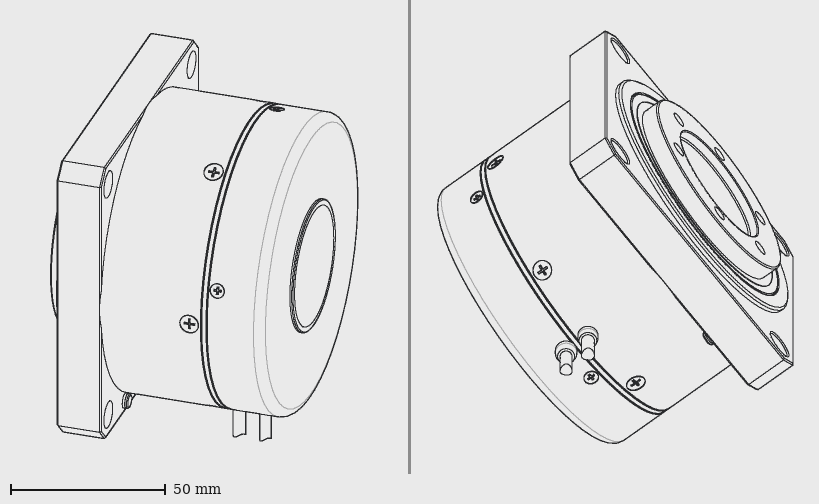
import cadquery as cq
import math

body_diameter = 100.0
body_radius = body_diameter / 2
overall_height = 116.8
cable_end_z = body_radius - overall_height

hub_length = 6.0
flange_front_x = 8.0
flange_thickness = 15.1
flange_back_x = flange_front_x + flange_thickness
rear_face_x = 78.0
total_length = 79.0

hub_diameter = 66.0
hub_chamfer = 0.5
register_diameter = 90
register_chamfer = 0.7
seal_recess_diameter = 72.0
seal_recess_depth = 0.2
gap_inner_diameter = 78.5
gap_outer_diameter = 79.2
gap_depth = 0.6
gap_chamfer = 0.4

flange_corner_chamfer = 4.9
edge_chamfer = 0.5
mount_hole_diameter = 9.0
mount_hole_spacing = 84.8
mount_hole_chamfer = 0.5

bore_diameter = 40.0
counterbore_diameter = 41.0
counterbore_depth = 3.0
bore_chamfer = 0.4

hub_hole_diameter = 5.0
hub_hole_circle = 50.0
hub_hole_count = 6
hub_hole_depth = 9.3
drill_point_angle = 118

rear_fillet = 3.0
rear_boss_diameter = 43.9
rear_boss_chamfer = 0.4

parting_groove_positions = (57.1, 59.0)
parting_groove_width = 0.5
parting_groove_depth = 0.2

large_screw_x = 53.0
large_screw_diameter = 6.3
large_cross_length = 3.5
large_screw_count = 6
large_screw_start_angle = 0
small_screw_x = 62.0
small_screw_diameter = 4.8
small_cross_length = 2.5
small_screw_count = 4
small_screw_start_angle = 15
screw_sink_depth = 0.4
cross_width = 0.6
cross_depth = 0.6

power_cable_x = 53.5
power_cable_diameter = 4.2
power_gland_length = 4.2
power_gland_diameter = 6.5
power_gland_end_diameter = 5.7
encoder_cable_x = 62.4
encoder_cable_diameter = 3.9
encoder_gland_length = 4.5
encoder_gland_diameter = 7
encoder_gland_end_diameter = 5.5
gland_collar_length = 1.8
break_height = 0.7
break_cutter_depth = 11.7

plug_y = -25.7
plug_z = -45.9
plug_collar_diameter = 5.0
plug_collar_length = 0.8
plug_head_diameter = 4.8
plug_length = 1.8
plug_chamfer = 0.4

clearance = 1.2


def disc(start_x, end_x, diameter):
    """Cylinder on the main axis between two X positions."""
    return cq.Workplane("YZ", origin=(start_x, 0, 0)).circle(diameter / 2).extrude(end_x - start_x)


def make_flange():
    """Square mounting flange with clipped corners and four through holes."""
    flange = (
        cq.Workplane("YZ", origin=(flange_front_x, 0, 0))
        .rect(body_diameter, body_diameter)
        .extrude(flange_thickness)
        .edges("|X")
        .chamfer(flange_corner_chamfer)
        .faces("<X or >X")
        .chamfer(edge_chamfer)
    )
    holes = (
        cq.Workplane("YZ", origin=(flange_front_x, 0, 0))
        .rect(mount_hole_spacing, mount_hole_spacing, forConstruction=True)
        .vertices()
        .circle(mount_hole_diameter / 2)
        .extrude(flange_thickness)
    )
    flange = flange.cut(holes)
    hole_edges = flange.faces("<X").edges("%CIRCLE")
    return hole_edges.chamfer(mount_hole_chamfer)


def make_front():
    """Register with a narrow ring gap and a shallow recess around the projecting hub."""
    register = disc(hub_length, flange_front_x, register_diameter).faces("<X").chamfer(register_chamfer)
    gap_end_x = hub_length + gap_depth
    gap_core = disc(hub_length, gap_end_x, gap_inner_diameter).faces("<X").chamfer(gap_chamfer)
    gap = disc(hub_length, gap_end_x, gap_outer_diameter).cut(gap_core)
    seal_recess = disc(hub_length, hub_length + seal_recess_depth, seal_recess_diameter)
    hub = disc(0, flange_front_x, hub_diameter).faces("<X").chamfer(hub_chamfer)
    return register.cut(gap).cut(seal_recess).union(hub)


def make_body():
    """Body drum, reaching into the flange so that it fills the rear edge chamfer where they touch."""
    body_front_x = flange_front_x + edge_chamfer
    body = disc(body_front_x, rear_face_x, body_diameter).faces(">X").edges().fillet(rear_fillet)
    boss = disc(rear_face_x, total_length, rear_boss_diameter).faces(">X").chamfer(rear_boss_chamfer)
    return body.union(boss)


def make_bore():
    """Through bore, opened up and chamfered at the hub face."""
    bore_radius = bore_diameter / 2
    counterbore_radius = counterbore_diameter / 2
    counterbore_step = counterbore_radius - bore_radius
    return (
        cq.Workplane("XY")
        .lineTo(0, counterbore_radius + bore_chamfer)
        .lineTo(bore_chamfer, counterbore_radius)
        .lineTo(counterbore_depth, counterbore_radius)
        .lineTo(counterbore_depth + counterbore_step, bore_radius)
        .lineTo(total_length, bore_radius)
        .lineTo(total_length, 0)
        .close()
        .revolve(360, (0, 0, 0), (1, 0, 0))
    )


def make_hub_holes():
    """Ring of blind drilled holes with conical bottoms."""
    radius = hub_hole_diameter / 2
    point_depth = radius / math.tan(math.radians(drill_point_angle / 2))
    hole = (
        cq.Workplane("XY")
        .polyline([(0, 0), (0, radius), (hub_hole_depth, radius), (hub_hole_depth + point_depth, 0)])
        .close()
        .revolve(360, (0, 0, 0), (1, 0, 0))
        .translate((0, 0, hub_hole_circle / 2))
    )
    holes = cq.Workplane("XY")
    for index in range(hub_hole_count):
        holes = holes.add(hole.rotate((0, 0, 0), (1, 0, 0), index * 360 / hub_hole_count))
    return holes.combine()


def make_parting_groove(center_x):
    """Ring with a triangular section for one shallow V groove."""
    half_width = parting_groove_width / 2
    return (
        cq.Workplane("XY")
        .moveTo(center_x - half_width, body_radius)
        .lineTo(center_x, body_radius - parting_groove_depth)
        .lineTo(center_x + half_width, body_radius)
        .close()
        .revolve(360, (0, 0, 0), (1, 0, 0))
    )


def make_screw_recesses(center_x, diameter, cross_length, count, start_angle):
    """Sunk screw heads with cross slots, evenly spaced around the body."""
    head_radius = body_radius - screw_sink_depth
    head = cq.Workplane("XZ", origin=(center_x, -head_radius, 0)).circle(diameter / 2).extrude(clearance)
    floor = cq.Workplane("XZ", origin=(center_x, -head_radius + cross_depth, 0))
    across = floor.rect(cross_length, cross_width).extrude(cross_depth)
    along = floor.rect(cross_width, cross_length).extrude(cross_depth)
    recess = head.union(across).union(along)
    recesses = cq.Workplane("XY")
    for index in range(count):
        angle = start_angle + index * 360 / count
        recesses = recesses.add(recess.rotate((0, 0, 0), (1, 0, 0), -angle))
    return recesses.combine()


def make_break_cutter(cable_radius):
    """Block below a saddle z = -k*x*y that leaves the wavy broken end of a cable."""
    half = cable_radius + clearance
    corner_rise = 2 * break_height * (half / cable_radius) ** 2

    def side(y, rise):
        points = [(-half, -break_cutter_depth), (half, -break_cutter_depth), (half, rise), (-half, -rise)]
        return cq.Wire.makePolygon([cq.Vector(x, y, z) for x, z in points], close=True)

    block = cq.Solid.makeLoft([side(-half, corner_rise), side(half, -corner_rise)], True)
    return cq.Workplane(obj=block)


def make_cable(center_x, cable_diameter, gland_length, gland_diameter, gland_end_diameter):
    """Gland with a tapered end, and a cable stub; the top runs into the body."""
    collar_end_z = -body_radius - gland_collar_length
    gland_end_z = -body_radius - gland_length
    top_z = -body_radius + clearance
    cable = (
        cq.Workplane("XZ")
        .moveTo(0, top_z)
        .lineTo(gland_diameter / 2, top_z)
        .lineTo(gland_diameter / 2, collar_end_z)
        .lineTo(gland_end_diameter / 2, gland_end_z)
        .lineTo(cable_diameter / 2, gland_end_z)
        .lineTo(cable_diameter / 2, cable_end_z)
        .lineTo(0, cable_end_z)
        .close()
        .revolve(360, (0, 0, 0), (0, 1, 0))
    )
    cutter = make_break_cutter(cable_diameter / 2).translate((0, 0, cable_end_z + break_height))
    return cable.cut(cutter).translate((center_x, 0, 0))


def make_plug():
    """Collared plug on the rear face of the flange, beside the body."""
    base = cq.Workplane("YZ", origin=(flange_back_x, plug_y, plug_z))
    collar = base.circle(plug_collar_diameter / 2).extrude(plug_collar_length)
    head = base.circle(plug_head_diameter / 2).extrude(plug_length).faces(">X").chamfer(plug_chamfer)
    return collar.union(head)


result = make_flange().union(make_front()).union(make_body())
result = result.cut(make_bore()).cut(make_hub_holes())
for groove_x in parting_groove_positions:
    result = result.cut(make_parting_groove(groove_x))
result = result.cut(
    make_screw_recesses(
        large_screw_x, large_screw_diameter, large_cross_length, large_screw_count, large_screw_start_angle
    )
)
result = result.cut(
    make_screw_recesses(
        small_screw_x, small_screw_diameter, small_cross_length, small_screw_count, small_screw_start_angle
    )
)
result = result.union(
    make_cable(
        power_cable_x,
        power_cable_diameter,
        power_gland_length,
        power_gland_diameter,
        power_gland_end_diameter,
    )
)
result = result.union(
    make_cable(
        encoder_cable_x,
        encoder_cable_diameter,
        encoder_gland_length,
        encoder_gland_diameter,
        encoder_gland_end_diameter,
    )
)
result = result.union(make_plug())